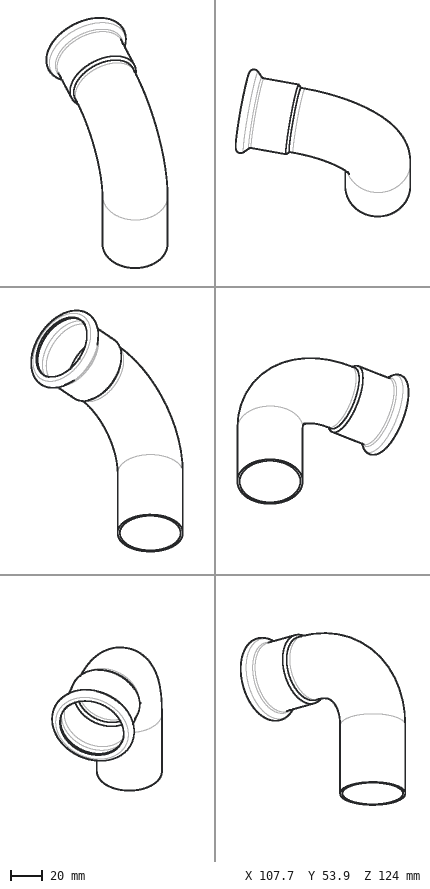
import cadquery as cq
import math


wall = 1.5
tube_radius = 20.7
bend_radius = 50.8
socket_face_x = -87.0
spigot_end_z = -97.06

bead_radius = 3.0
bead_center_radius = 23.94
socket_radius = 22.5
mouth_radius = socket_radius - wall
root_radius = 2.1
shoulder_end = 33.85

slope = math.radians(45)
sin_slope = math.sin(slope)
cos_slope = math.cos(slope)


def arc_point(center, radius, angle):
    """Point on a circle; the angle is measured from the +X direction."""
    return (center[0] + radius * math.cos(angle), center[1] + radius * math.sin(angle))


def socket_solid(inset):
    """Socket and neck as a filled solid whose surface lies `inset` inside the outer skin."""
    bead_r = bead_radius - inset
    root_r = root_radius + inset
    bore_r = socket_radius - inset
    neck_r = tube_radius - inset

    bead_center = (socket_face_x + bead_radius, bead_center_radius)
    bead_end = arc_point(bead_center, bead_r, slope)

    root_start_r = bore_r + root_r * (1 - cos_slope)
    flank_end = (bead_end[0] + (bead_end[1] - root_start_r) / math.tan(slope), root_start_r)
    root_center = (flank_end[0] + root_r * sin_slope, bore_r + root_r)
    root_mid = arc_point(root_center, root_r, -math.pi / 2 - slope / 2)

    neck_x = socket_face_x + shoulder_end - inset * math.tan(slope / 2)
    shoulder_x = neck_x - (bore_r - neck_r) / math.tan(slope)

    profile = (
        cq.Workplane("XY")
        .moveTo(bead_center[0] - bead_r, 0)
        .lineTo(bead_center[0] - bead_r, bead_center[1])
        .threePointArc(arc_point(bead_center, bead_r, (math.pi + slope) / 2), bead_end)
        .lineTo(*flank_end)
        .threePointArc(root_mid, (root_center[0], bore_r))
        .lineTo(shoulder_x, bore_r)
        .lineTo(neck_x, neck_r)
        .lineTo(-bend_radius, neck_r)
        .lineTo(-bend_radius, 0)
        .close()
    )
    return profile.revolve(360, (0, 0, 0), (1, 0, 0))


def bend_solid(radius):
    """Quarter torus from the end of the neck to the start of the spigot."""
    return (
        cq.Workplane("YZ", origin=(-bend_radius, 0, 0))
        .circle(radius)
        .revolve(90, (0, -bend_radius, 0), (1, -bend_radius, 0))
    )


def spigot_solid(radius):
    """Straight pipe end below the bend."""
    return (
        cq.Workplane("XY", origin=(0, 0, -bend_radius))
        .circle(radius)
        .extrude(spigot_end_z + bend_radius)
    )


def elbow_solid(inset):
    """Whole elbow as a filled solid, `inset` inside the outer skin."""
    radius = tube_radius - inset
    return socket_solid(inset).union(bend_solid(radius)).union(spigot_solid(radius))


def mouth_opening():
    """Opening through the lip of the bead into the socket."""
    return (
        cq.Workplane("YZ", origin=(socket_face_x, 0, 0))
        .circle(mouth_radius)
        .extrude(2 * wall)
    )


result = elbow_solid(0).cut(elbow_solid(wall)).cut(mouth_opening())